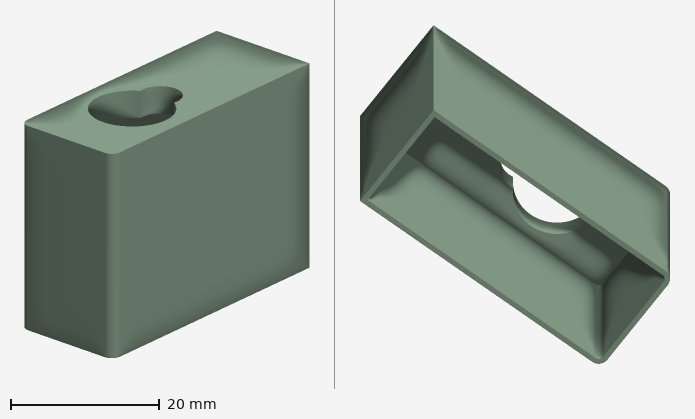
import cadquery as cq

width = 16.5
length = 40.4
height = 30.0
corner_radius = 1.45

wall = 0.73
top_thickness = 4.0

head_radius = 5.95
neck_radius = 3.05
head_to_front = 13.5
neck_offset = 5.78

head_y = head_to_front - length / 2
neck_y = head_y + neck_offset


def rounded_box(size_x, size_y, size_z, radius):
    """Box on Z = 0 with its two upright front edges rounded."""
    box = cq.Workplane("XY").box(size_x, size_y, size_z, centered=(True, True, False))
    return box.faces("<Y").edges("|Z").fillet(radius)


def round_cutter(radius, y):
    """Upright cylinder on the part's middle plane, as tall as the part."""
    return cq.Workplane("XY").center(0, y).circle(radius).extrude(height)


body = rounded_box(width, length, height, corner_radius)
cavity = rounded_box(
    width - 2 * wall,
    length - 2 * wall,
    height - top_thickness,
    corner_radius - wall,
)
keyhole = round_cutter(head_radius, head_y).union(round_cutter(neck_radius, neck_y))

result = body.cut(cavity).cut(keyhole)